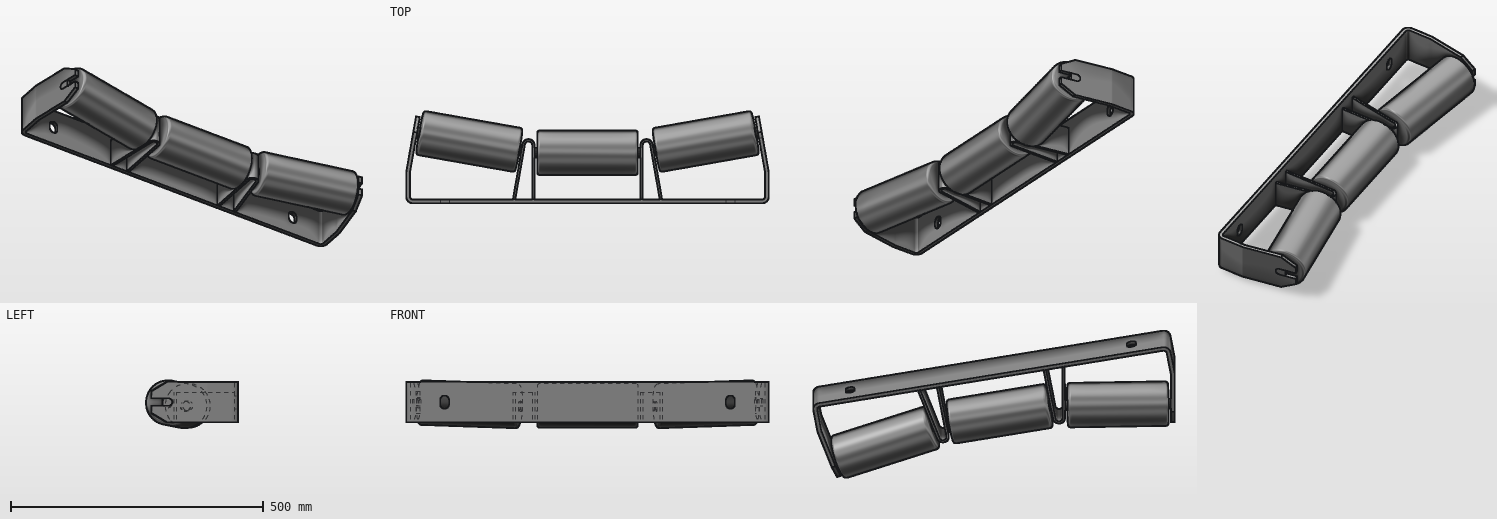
import cadquery as cq
import math


frame_length = 720.0
strip_width = 80.0
strip_thickness = 8.0
bend_radius = 14.0
trough_angle = 10.0
kink_y = 60.8
arm_tip_y = 172.7
tip_taper_length = 31.0
tip_taper_depth = 18.0
seat_slot_width = 15.0
seat_slot_bottom_y = 130.8
bolt_slot_spacing = 567.0
bolt_slot_width = 18.0
bolt_slot_height = 26.0

bracket_thickness = 5.0
bracket_width = 60.0
bracket_inner_x = 105.0
crown_radius = 12.0
crown_y = 127.8

roller_diameter = 89.0
roller_length = 200.0
roller_rim_radius = 6.0
neck_diameter = 20.0
middle_roller_y = 100.5
middle_roller_z = 33.2
wing_roller_y = 122.85
wing_roller_z = 35.8
wing_tilt = 1.965
tongue_height = 20.0

lean = math.radians(trough_angle)
half_length = frame_length / 2
strip_middle_z = strip_width / 2


def mirrored(body):
    """Copy of a left-hand body on the right-hand side."""
    return body.mirror("YZ")


def on_left_arm(x, y):
    """Plane on the leaning arm: local X up the arm, local Y along Z, normal pointing outwards."""
    return cq.Plane(
        origin=(x, y, strip_middle_z),
        xDir=(math.sin(lean), math.cos(lean), 0),
        normal=(-math.cos(lean), math.sin(lean), 0),
    )


arm_length = (arm_tip_y - kink_y) / math.cos(lean)
arm_plane = on_left_arm(-half_length, kink_y)
slot_bottom = (seat_slot_bottom_y - kink_y) / math.cos(lean)


def round_upright_edges(body, corners, radius):
    """Fillet the edges that run along Z through the given XY corners."""
    for x, y in corners:
        edge = cq.selectors.NearestToPointSelector((x, y, strip_middle_z))
        body = body.edges("|Z").edges(edge).fillet(radius)
    return body


def frame_half():
    """Left half of the bent strip, from the middle of the back to the arm tip."""
    inner_radius = bend_radius - strip_thickness
    inner_x = strip_thickness - half_length
    inner_kink_y = kink_y + strip_thickness * math.tan(lean / 2)
    tip_x = -half_length + arm_length * math.sin(lean)
    inner_tip = (tip_x + strip_thickness * math.cos(lean), arm_tip_y - strip_thickness * math.sin(lean))
    sharp_strip = (
        cq.Workplane("XY")
        .polyline([
            (0, 0),
            (-half_length, 0),
            (-half_length, kink_y),
            (tip_x, arm_tip_y),
            inner_tip,
            (inner_x, inner_kink_y),
            (inner_x, strip_thickness),
            (0, strip_thickness),
        ])
        .close()
        .extrude(strip_width)
    )
    outer_corners = [(-half_length, 0), (-half_length, kink_y)]
    inner_corners = [(inner_x, strip_thickness), (inner_x, inner_kink_y)]
    strip = round_upright_edges(sharp_strip, outer_corners, bend_radius)
    return round_upright_edges(strip, inner_corners, inner_radius)


def tip_tapers():
    """Wedges that narrow the arm towards its tip on both edges."""
    half = strip_width / 2
    wedge = (
        cq.Workplane(arm_plane)
        .moveTo(arm_length - tip_taper_length, half)
        .lineTo(arm_length, half - tip_taper_depth)
        .lineTo(arm_length, half)
        .close()
        .extrude(2 * strip_thickness, both=True)
    )
    return wedge.union(wedge.mirror("XY", (0, 0, strip_middle_z)))


def seat_slot(top):
    """Round-bottomed slot shape through the arm, running up it to the given distance from the kink."""
    radius = seat_slot_width / 2
    return (
        cq.Workplane(arm_plane)
        .moveTo(top, -radius)
        .lineTo(slot_bottom + radius, -radius)
        .threePointArc((slot_bottom, 0), (slot_bottom + radius, radius))
        .lineTo(top, radius)
        .close()
        .extrude(-strip_thickness)
    )


def make_frame():
    half = frame_half().cut(tip_tapers()).cut(seat_slot(arm_length))
    bolt_slots = (
        cq.Workplane("XZ")
        .pushPoints([(side * bolt_slot_spacing / 2, strip_middle_z) for side in (-1, 1)])
        .slot2D(bolt_slot_height, bolt_slot_width, 90)
        .extrude(-strip_thickness)
    )
    return half.union(mirrored(half)).cut(bolt_slots)


crown_x = -bracket_inner_x - crown_radius
crown_centre_y = crown_y - crown_radius


def hairpin_point(radius):
    """Point where the leaning leg meets the crown, at the given radius from the crown centre."""
    return crown_x - radius * math.cos(lean), crown_centre_y + radius * math.sin(lean)


def leg_foot(radius):
    """Point where the leaning leg meets the back of the frame."""
    x, y = hairpin_point(radius)
    return x - (y - strip_thickness) * math.tan(lean), strip_thickness


def make_left_bracket():
    inner_radius = crown_radius - bracket_thickness
    return (
        cq.Workplane("XY")
        .moveTo(*leg_foot(crown_radius))
        .lineTo(*hairpin_point(crown_radius))
        .threePointArc((crown_x, crown_y), (crown_x + crown_radius, crown_centre_y))
        .lineTo(crown_x + crown_radius, strip_thickness)
        .lineTo(crown_x + inner_radius, strip_thickness)
        .lineTo(crown_x + inner_radius, crown_centre_y)
        .threePointArc((crown_x, crown_centre_y + inner_radius), hairpin_point(inner_radius))
        .lineTo(*leg_foot(inner_radius))
        .close()
        .extrude(bracket_width)
    )


def plain_roller(shaft_length):
    """Roller with its shaft, centred on the origin along X."""
    drum = (
        cq.Workplane("YZ", origin=(-roller_length / 2, 0, 0))
        .circle(roller_diameter / 2)
        .extrude(roller_length)
        .faces("<X or >X")
        .edges()
        .fillet(roller_rim_radius)
    )
    shaft = (
        cq.Workplane("YZ", origin=(-shaft_length / 2, 0, 0))
        .circle(neck_diameter / 2)
        .extrude(shaft_length)
    )
    return drum.union(shaft)


def make_middle_roller():
    return plain_roller(2 * bracket_inner_x).translate((0, middle_roller_y, middle_roller_z))


def make_left_wing_roller(bracket):
    arm_face_x = -half_length + strip_thickness / math.cos(lean) + (wing_roller_y - kink_y) * math.tan(lean)
    foot_x, foot_y = leg_foot(crown_radius)
    leg_face_x = foot_x + (wing_roller_y - foot_y) * math.tan(lean)
    centre = ((arm_face_x + leg_face_x) / 2, wing_roller_y, wing_roller_z)
    face_gap = (leg_face_x - arm_face_x) * math.cos(lean)

    roller = (
        plain_roller(face_gap + bracket_thickness)
        .rotate((0, 0, 0), (0, 1, 0), wing_tilt)
        .rotate((0, 0, 0), (0, 0, 1), -trough_angle)
        .translate(centre)
    )
    tongue = seat_slot(slot_bottom + tongue_height)
    return roller.cut(frame_half()).cut(bracket).union(tongue)


frame = make_frame()
left_bracket = make_left_bracket()
middle_roller = make_middle_roller()
left_wing_roller = make_left_wing_roller(left_bracket)

brackets = [left_bracket, mirrored(left_bracket)]
wing_rollers = [left_wing_roller, mirrored(left_wing_roller)]

result = cq.Compound.makeCompound(
    [frame.val(), middle_roller.val()] + [body.val() for body in brackets + wing_rollers]
)